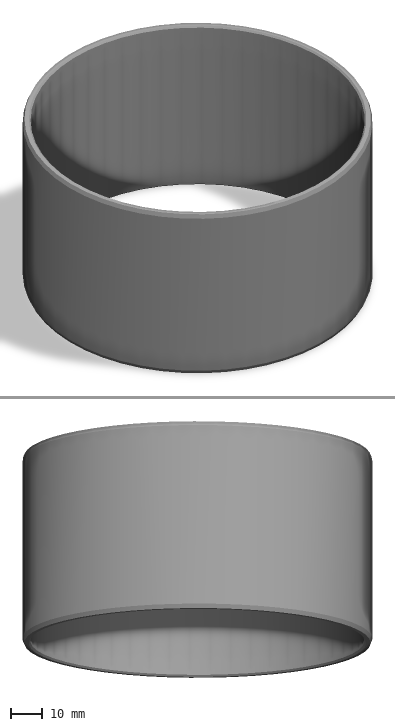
import cadquery as cq

outer_diameter = 110.0
inner_diameter = 105.0
length = 60.0

outer_chamfer_length = 1.3
outer_chamfer_depth = 0.5

bore_chamfer = 0.5

outer_radius = outer_diameter / 2
inner_radius = inner_diameter / 2
half_length = length / 2
rim_radius = outer_radius - outer_chamfer_depth
mouth_radius = inner_radius + bore_chamfer
outer_edge_height = half_length - outer_chamfer_length
bore_edge_height = half_length - bore_chamfer

wall_section = (
    cq.Workplane("XZ")
    .moveTo(mouth_radius, -half_length)
    .lineTo(rim_radius, -half_length)
    .lineTo(outer_radius, -outer_edge_height)
    .lineTo(outer_radius, outer_edge_height)
    .lineTo(rim_radius, half_length)
    .lineTo(mouth_radius, half_length)
    .lineTo(inner_radius, bore_edge_height)
    .lineTo(inner_radius, -bore_edge_height)
    .close()
)

result = wall_section.revolve(360, (0, 0, 0), (0, 1, 0))